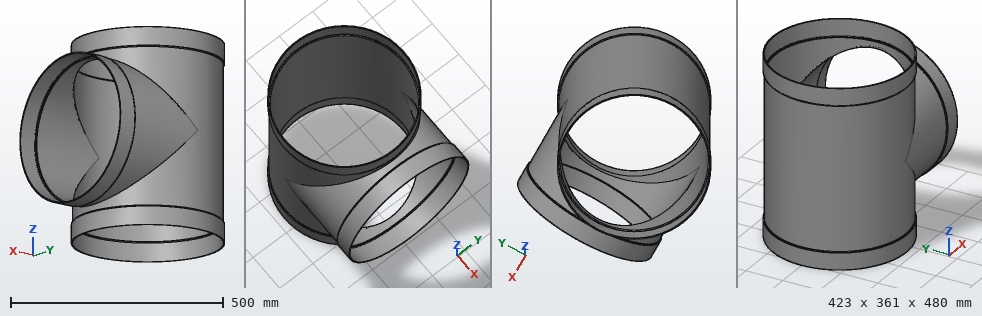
import cadquery as cq

height = 480.0
branch_reach = 242.5
pipe_diameter = 355.0
bore_diameter = 349.0
collar_diameter = 361.0
socket_diameter = 355.0
collar_length = 45.0
flare_length = 3.0

flare_end = collar_length + flare_length
branch_height = height / 2


def flared_profile(length, body_radius, end_radius, both_ends=False):
    """Solid of revolution along +Z from the origin, widened at its far end or at both ends."""
    if both_ends:
        start = [
            (end_radius, 0),
            (end_radius, collar_length),
            (body_radius, flare_end),
        ]
    else:
        start = [(body_radius, 0)]
    far = [
        (body_radius, length - flare_end),
        (end_radius, length - collar_length),
        (end_radius, length),
    ]
    return (
        cq.Workplane("XZ")
        .polyline([(0, 0)] + start + far + [(0, length)])
        .close()
        .revolve(360, (0, 0, 0), (0, 1, 0))
    )


def tee(body_diameter, end_diameter):
    """Solid tee: main pipe along Z plus the branch along +X."""
    body_radius = body_diameter / 2
    end_radius = end_diameter / 2
    main = flared_profile(height, body_radius, end_radius, True)
    branch = flared_profile(branch_reach, body_radius, end_radius)
    branch = branch.rotate((0, 0, 0), (0, 1, 0), 90)
    return main.union(branch.translate((0, 0, branch_height)))


outside = tee(pipe_diameter, collar_diameter)
inside = tee(bore_diameter, socket_diameter)
result = outside.cut(inside)